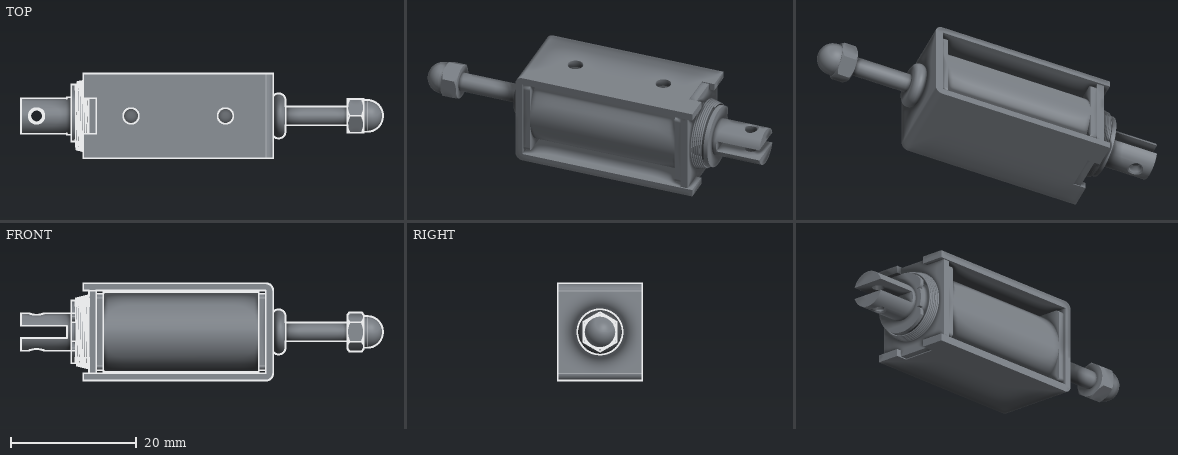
import cadquery as cq
import math


overall_length = 57.55
selection_margin = 0.1

frame_length = 30.2
frame_width = 13.5
frame_height = 15.5
sheet = 1.2
bend_radius = sheet
mount_hole_dia = 2.5
mount_hole_first = 7.6
mount_hole_spacing = 15.0
inner_height = frame_height - 2 * sheet
closed_wall_x = frame_length - sheet

plate_x = 0.9
plate_back_x = plate_x + sheet
plate_width = 13.0
tab_width = 5.6
tab_recess = 0.15

clevis_dia = 6.0
clevis_x = -9.9
body_dia = 8.2
slot_width = 1.9
slot_end_x = -2.6
cross_hole_x = -7.4
cross_hole_dia = 2.0
cross_hole_chamfer = 0.25

flange_thickness = 1.1
flange_width = 12.7
flange_height = 12.2
flange_corner = 0.7
tube_dia = 9.6
coil_dia = 12.7
coil_start_x = plate_back_x + flange_thickness
coil_end_x = closed_wall_x - flange_thickness

clip_dia = 10.0
clip_thickness = 0.7
clip_x = -1.9
clip_back_x = clip_x + clip_thickness
clip_gap = 3.0
clip_flat = 4.0
clip_tip_fillet = 1.0

wire_dia = 0.28
spring_small_radius = 5.2
spring_large_radius = 5.65
spring_turns = 6

rod_dia = 3.0
cushion_radius = 3.6
cushion_bulge = 1.1
cushion_thickness = 1.95
cushion_back_x = frame_length + cushion_thickness
nut_x = 41.95
nut_thickness = 2.65
nut_flats = 5.4
nut_chamfer_angle = 40
dome_radius = 2.55
dome_tip_x = clevis_x + overall_length
dome_start_x = dome_tip_x - dome_radius


def cylinder(diameter, start_x, end_x):
    """Round bar along X."""
    return cq.Workplane("YZ", origin=(start_x, 0, 0)).circle(diameter / 2).extrude(end_x - start_x)


def block(start_x, end_x, width, height):
    """Rectangular bar along X, centred on the axis."""
    return cq.Workplane("YZ", origin=(start_x, 0, 0)).rect(width, height).extrude(end_x - start_x)


def make_frame():
    frame = block(0, frame_length, frame_width, frame_height)
    frame = frame.edges(">X and |Y").fillet(bend_radius)
    frame = frame.cut(block(0, closed_wall_x, frame_width, inner_height))
    frame = frame.cut(block(0, plate_back_x, tab_width, frame_height))
    frame = frame.cut(cylinder(rod_dia, closed_wall_x, frame_length))
    for hole_x in (mount_hole_first, mount_hole_first + mount_hole_spacing):
        hole = cq.Workplane("XY").center(hole_x, 0).circle(mount_hole_dia / 2).extrude(frame_height)
        frame = frame.cut(hole)
    return frame


def make_end_plate():
    plate = block(plate_x, plate_back_x, plate_width, inner_height)
    tabs = block(plate_x, plate_back_x, tab_width, frame_height - 2 * tab_recess)
    return plate.union(tabs).cut(cylinder(body_dia, plate_x, plate_back_x))


def make_bobbin():
    bobbin = cylinder(tube_dia, plate_back_x, closed_wall_x)
    for start_x in (plate_back_x, coil_end_x):
        flange = block(start_x, start_x + flange_thickness, flange_width, flange_height)
        bobbin = bobbin.union(flange.edges("|X").fillet(flange_corner))
    return bobbin.cut(cylinder(body_dia, plate_back_x, closed_wall_x))


def make_coil():
    coil = cylinder(coil_dia, coil_start_x, coil_end_x)
    return coil.cut(cylinder(tube_dia, coil_start_x, coil_end_x))


def clip_gap_block():
    """The clip's opening, reaching from the axis toward -Y."""
    return block(clip_x, clip_back_x, clip_dia, clip_gap).translate((0, -clip_dia / 2, 0))


def make_plunger():
    clevis = cylinder(clevis_dia, clevis_x, clip_back_x)
    plunger = clevis.union(cylinder(body_dia, clip_back_x, closed_wall_x))

    key = cylinder(body_dia, clip_x, clip_back_x).intersect(clip_gap_block())
    plunger = plunger.union(key)

    plunger = plunger.cut(block(clevis_x, slot_end_x, clevis_dia, slot_width))
    hole = cq.Workplane("XY").center(cross_hole_x, 0).circle(cross_hole_dia / 2)
    plunger = plunger.cut(hole.extrude(clevis_dia, both=True))

    reach = cross_hole_dia / 2 + selection_margin
    for side in (1, -1):
        mouth = cq.selectors.BoxSelector(
            (cross_hole_x - reach, -reach, side * slot_width),
            (cross_hole_x + reach, reach, side * clevis_dia),
        )
        plunger = plunger.edges(mouth).chamfer(cross_hole_chamfer)
    return plunger


def make_clip():
    clip = cylinder(clip_dia, clip_x, clip_back_x)
    beyond_flat = cq.Workplane("XY").box(clip_dia, clip_dia, clip_dia)
    clip = clip.cut(beyond_flat.translate((0, -clip_flat - clip_dia / 2, 0)))
    clip = clip.cut(clip_gap_block())

    tips = cq.selectors.BoxSelector(
        (clip_x - selection_margin, -clip_flat - selection_margin, -clip_gap / 2 - selection_margin),
        (clip_back_x + selection_margin, -clip_flat + selection_margin, clip_gap / 2 + selection_margin),
    )
    clip = clip.edges(tips).fillet(clip_tip_fillet)
    return clip.cut(cylinder(clevis_dia, clip_x, clip_back_x))


def make_spring():
    start_x = clip_back_x + wire_dia / 2
    rise = plate_x - wire_dia / 2 - start_x
    cone_angle = math.atan2(spring_large_radius - spring_small_radius, rise)
    slant = rise / math.cos(cone_angle)
    path = cq.Wire.makeHelix(
        slant / spring_turns,
        slant,
        spring_small_radius,
        center=cq.Vector(start_x, 0, 0),
        dir=cq.Vector(1, 0, 0),
        angle=math.degrees(cone_angle),
    )
    section = cq.Plane(origin=path.startPoint(), normal=path.tangentAt(0))
    return cq.Workplane(section).circle(wire_dia / 2).sweep(path, isFrenet=True)


def make_cushion():
    """Rubber ring with a bulging rim, flat against the frame."""
    rim_x = cushion_back_x - cushion_bulge
    rim_centre = cushion_radius - cushion_bulge
    front_radius = rim_centre + math.sqrt(cushion_bulge ** 2 - (rim_x - frame_length) ** 2)
    profile = (
        cq.Workplane("XY")
        .moveTo(frame_length, rod_dia / 2)
        .lineTo(frame_length, front_radius)
        .threePointArc((rim_x, cushion_radius), (cushion_back_x, rim_centre))
        .lineTo(cushion_back_x, rod_dia / 2)
        .close()
    )
    return profile.revolve(360, (0, 0, 0), (1, 0, 0))


def make_rod():
    return cylinder(rod_dia, closed_wall_x, nut_x + nut_thickness)


def make_cap_nut():
    nut_end_x = nut_x + nut_thickness
    corner_dia = nut_flats / math.cos(math.radians(30))
    hexagon = (
        cq.Workplane("YZ", origin=(nut_x, 0, 0))
        .transformed(rotate=(0, 0, 90))
        .polygon(6, corner_dia)
        .extrude(nut_thickness)
    )

    bevel_height = (corner_dia - nut_flats) / 2
    bevel_length = bevel_height * math.tan(math.radians(nut_chamfer_angle))
    envelope = cylinder(corner_dia, nut_x, nut_end_x)
    envelope = envelope.faces("<X or >X").chamfer(bevel_length, bevel_height)
    nut = hexagon.intersect(envelope)

    dome = (
        cq.Workplane("XY")
        .moveTo(nut_x, 0)
        .lineTo(nut_x, dome_radius)
        .lineTo(dome_start_x, dome_radius)
        .radiusArc((dome_tip_x, 0), dome_radius)
        .close()
        .revolve(360, (0, 0, 0), (1, 0, 0))
    )
    return nut.union(dome).cut(cylinder(rod_dia, nut_x, nut_end_x))


frame = make_frame()
end_plate = make_end_plate()
bobbin = make_bobbin()
coil = make_coil()
plunger = make_plunger()
clip = make_clip()
spring = make_spring()
cushion = make_cushion()
rod = make_rod()
cap_nut = make_cap_nut()

bodies = [frame, end_plate, bobbin, coil, plunger, clip, spring, cushion, rod, cap_nut]
result = cq.Compound.makeCompound([body.solids().val() for body in bodies])